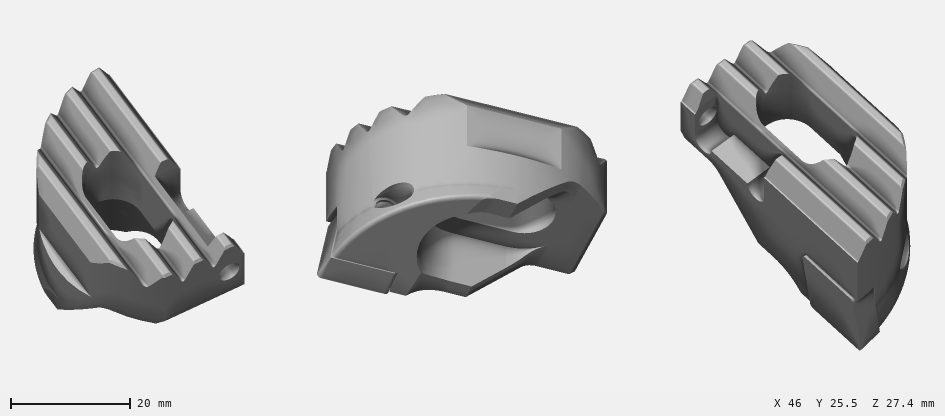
import cadquery as cq
import math


WALL_RADIUS = 25.0
TOP_Z = 27.4
BACK_Y = -0.05
END_X = 19.55
TOP_CHAMFER = 0.4
FRONT_Y = -WALL_RADIUS
MARGIN = 4.6

BOTTOM_TILT = 6.7
BOTTOM_BACK_Z = 0.28
LEDGE_Z = 3.35
RAMP_ANGLE = 45.0
HEEL_Z = 14.35
HEEL_CHAMFER = 1.0
HEEL_RADIUS = 4.0
RELIEF_START_X = -10.7
RELIEF_RADIUS = 9.2

FLARE_TOP_Z = 6.5
FLARE_ANGLE = 10.0
SKIRT_FILLET = 0.75

CREST_COUNT = 4
CREST_SPAN = 18.0
PITCH = CREST_SPAN / (CREST_COUNT - 1)
CREST_WIDTH = 1.4
CREST_RADIUS = 0.5
ROOT_RADIUS = 0.35
FLANK_ANGLE = math.radians(30)

SLOT_X = 1.3
SLOT_Y = -2 * PITCH
SLOT_LENGTH = 20.1
SLOT_WIDTH = 10.55
COUNTERBORE_WIDTH = 18.2

NOTCH_LEFT_X = -1.45
NOTCH_RIGHT_X = 16.0
NOTCH_FRONT_Y = -5.1
NOTCH_FLOOR_Z = 17.7
NOTCH_RELIEF_RADIUS = 2.1
NOTCH_FLARE = 0.4
NOTCH_FLARE_Z = 24.85
CROSS_HOLE_RADIUS = 2.0
CROSS_HOLE_Y = -PITCH / 2
CROSS_HOLE_Z = 20.6

RECESS_Y = -23.5
RECESS_Z = 15.05
RECESS_FLOOR_ANGLE = math.radians(30)

INSERT_FACE_Y = 0.45
INSERT_THICKNESS = 4.8
INSERT_HEIGHT = 12.65
INSERT_CORNER = math.radians(80)
INSERT_RADIUS = 0.8
INSERT_CLEARANCE = 7.0
INSERT_LEFT_X = -26.45
INSERT_LEAN = INSERT_HEIGHT / math.tan(INSERT_CORNER)
INSERT_SIDE = INSERT_HEIGHT / math.sin(INSERT_CORNER)
INSERT_TIP_X = INSERT_LEFT_X + INSERT_RADIUS - INSERT_RADIUS / math.tan(INSERT_CORNER / 2)

SCREW_X = -18.85
SCREW_Z = 6.55
SCREW_RADIUS = 2.02
SCREW_CHAMFER = 0.4
SCREW_END_Y = -12.8
ACCESS_RADIUS = 2.58


def block(x0, x1, y0, y1, z0, z1):
    """Box between opposite corners."""
    return cq.Workplane("XY").box(x1 - x0, y1 - y0, z1 - z0, centered=False).translate((x0, y0, z0))


def rod_along_y(x, z, radius, y0, y1):
    """Cylinder parallel to Y."""
    return cq.Workplane("XZ", origin=(x, y1, z)).circle(radius).extrude(y1 - y0)


def bottom_z(y):
    """Height of the tilted bottom face."""
    return BOTTOM_BACK_Z + (BACK_Y - y) * math.tan(math.radians(BOTTOM_TILT))


def upper_block():
    """Round wall with a chamfered top rim, cut off flat at the back and at the +X end."""
    height = TOP_Z - LEDGE_Z
    wall = cq.Workplane("XY", origin=(0, 0, LEDGE_Z)).circle(WALL_RADIUS).extrude(height)
    wall = wall.faces(">Z").chamfer(TOP_CHAMFER)
    bounds = block(-WALL_RADIUS, END_X, FRONT_Y, BACK_Y, FLARE_TOP_Z, TOP_Z)
    bounds = bounds.union(block(0, END_X, FRONT_Y, BACK_Y, LEDGE_Z, FLARE_TOP_Z))
    bounds = bounds.faces(">Z").edges(">X").chamfer(TOP_CHAMFER)
    return wall.intersect(bounds)


def skirt():
    """Conical flare under the round wall, closed by the tilted bottom with a rounded edge."""
    low_z = -MARGIN
    drop = FLARE_TOP_Z - low_z
    low_radius = WALL_RADIUS + drop * math.tan(math.radians(FLARE_ANGLE))
    cone = cq.Workplane("XY").add(
        cq.Solid.makeCone(low_radius, WALL_RADIUS, drop, cq.Vector(0, 0, low_z))
    )
    reach = 2 * WALL_RADIUS
    underneath = (
        cq.Workplane("YZ", origin=(-reach, 0, 0))
        .polyline([(-reach, bottom_z(-reach)), (reach, bottom_z(reach)), (reach, -reach), (-reach, -reach)])
        .close()
        .extrude(2 * reach)
    )
    cone = cone.cut(underneath)
    cone = cone.faces("<Z").edges().fillet(SKIRT_FILLET)
    return cone.intersect(block(-reach, 0, FRONT_Y, BACK_Y, low_z, FLARE_TOP_Z))


def underside_cut():
    """Space below the underside, whose two ramps blend into flats, along the whole depth."""
    setback = math.tan(math.radians(RAMP_ANGLE / 2))
    arc_top = 90.0
    arc_start = arc_top + RAMP_ANGLE
    arc_middle = arc_top + RAMP_ANGLE / 2
    relief_corner_x = RELIEF_START_X + LEDGE_Z - BOTTOM_BACK_Z
    relief_end_x = relief_corner_x + RELIEF_RADIUS * setback
    relief_centre_z = LEDGE_Z - RELIEF_RADIUS
    heel_corner_x = HEEL_Z - LEDGE_Z
    heel_end_x = heel_corner_x + HEEL_RADIUS * setback
    heel_centre_z = HEEL_Z - HEEL_RADIUS

    def on_arc(centre_x, centre_z, radius, degrees):
        angle = math.radians(degrees)
        return (centre_x + radius * math.cos(angle), centre_z + radius * math.sin(angle))

    relief = (relief_end_x, relief_centre_z, RELIEF_RADIUS)
    heel = (heel_end_x, heel_centre_z, HEEL_RADIUS)
    return (
        cq.Workplane("XZ", origin=(0, MARGIN, 0))
        .moveTo(RELIEF_START_X - BOTTOM_BACK_Z - MARGIN, -MARGIN)
        .lineTo(*on_arc(*relief, arc_start))
        .threePointArc(on_arc(*relief, arc_middle), on_arc(*relief, arc_top))
        .lineTo(0, LEDGE_Z)
        .lineTo(*on_arc(*heel, arc_start))
        .threePointArc(on_arc(*heel, arc_middle), on_arc(*heel, arc_top))
        .lineTo(END_X - HEEL_CHAMFER, HEEL_Z)
        .lineTo(END_X + MARGIN, HEEL_Z + HEEL_CHAMFER + MARGIN)
        .lineTo(END_X + MARGIN, -MARGIN)
        .close()
        .extrude(WALL_RADIUS + 2 * MARGIN)
    )


def serration_valley(y):
    """One V groove along X with a round root, rounding the crests on both sides."""
    lip_y = (PITCH - CREST_WIDTH) / 2
    apex_z = TOP_Z - lip_y / math.tan(FLANK_ANGLE)
    setback = CREST_RADIUS * math.tan(FLANK_ANGLE)
    sin_flank = math.sin(FLANK_ANGLE)
    cos_flank = math.cos(FLANK_ANGLE)
    root_y = ROOT_RADIUS * cos_flank
    root_z = apex_z + ROOT_RADIUS / sin_flank - ROOT_RADIUS * sin_flank
    root_low_z = apex_z + ROOT_RADIUS / sin_flank - ROOT_RADIUS
    crest_y = lip_y + setback
    crest_centre_z = TOP_Z - CREST_RADIUS
    crest_mid = (crest_y - CREST_RADIUS * sin_flank, crest_centre_z + CREST_RADIUS * cos_flank)
    flank_top = (lip_y - setback * sin_flank, TOP_Z - setback * cos_flank)
    return (
        cq.Workplane("YZ", origin=(-2 * WALL_RADIUS, y, 0))
        .moveTo(-crest_y, TOP_Z)
        .threePointArc((-crest_mid[0], crest_mid[1]), (-flank_top[0], flank_top[1]))
        .lineTo(-root_y, root_z)
        .threePointArc((0, root_low_z), (root_y, root_z))
        .lineTo(*flank_top)
        .threePointArc(crest_mid, (crest_y, TOP_Z))
        .close()
        .extrude(4 * WALL_RADIUS)
    )


def clamping_slot():
    """Through slot with a wider counterbore from below."""
    widening = COUNTERBORE_WIDTH - SLOT_WIDTH
    through = (
        cq.Workplane("XY", origin=(SLOT_X, SLOT_Y, 0))
        .slot2D(SLOT_LENGTH, SLOT_WIDTH)
        .extrude(TOP_Z)
    )
    counterbore = (
        cq.Workplane("XY", origin=(SLOT_X, SLOT_Y, 0))
        .slot2D(SLOT_LENGTH + widening, COUNTERBORE_WIDTH)
        .extrude(HEEL_Z)
    )
    return through.union(counterbore)


def back_notch():
    """Notch in the back tooth, with flared mouth, relieved floor corners and a cross hole."""
    cutter = (
        cq.Workplane("XZ", origin=(0, MARGIN, 0))
        .polyline(
            [
                (NOTCH_LEFT_X, NOTCH_FLOOR_Z),
                (NOTCH_RIGHT_X, NOTCH_FLOOR_Z),
                (NOTCH_RIGHT_X, NOTCH_FLARE_Z),
                (NOTCH_RIGHT_X + NOTCH_FLARE, TOP_Z),
                (NOTCH_LEFT_X - NOTCH_FLARE, TOP_Z),
                (NOTCH_LEFT_X, NOTCH_FLARE_Z),
            ]
        )
        .close()
        .extrude(MARGIN - NOTCH_FRONT_Y)
    )
    for x in (NOTCH_LEFT_X + NOTCH_RELIEF_RADIUS, NOTCH_RIGHT_X - NOTCH_RELIEF_RADIUS):
        cutter = cutter.union(rod_along_y(x, NOTCH_FLOOR_Z, NOTCH_RELIEF_RADIUS, NOTCH_FRONT_Y, MARGIN))
    cross_hole = (
        cq.Workplane("YZ", origin=(NOTCH_RIGHT_X - MARGIN, CROSS_HOLE_Y, CROSS_HOLE_Z))
        .circle(CROSS_HOLE_RADIUS)
        .extrude(END_X - NOTCH_RIGHT_X + 2 * MARGIN)
    )
    return cutter.union(cross_hole)


def front_recess():
    """Flat cut into the front of the round wall, with a floor that slopes outward."""
    outer_y = FRONT_Y - MARGIN
    outer_z = RECESS_Z - (RECESS_Y - outer_y) * math.tan(RECESS_FLOOR_ANGLE)
    return (
        cq.Workplane("YZ", origin=(-WALL_RADIUS, 0, 0))
        .polyline([(RECESS_Y, TOP_Z), (RECESS_Y, RECESS_Z), (outer_y, outer_z), (outer_y, TOP_Z)])
        .close()
        .extrude(2 * WALL_RADIUS)
    )


def insert_pocket():
    """Seat for the insert, open at the back, to the left and downward."""
    right_low_x = INSERT_TIP_X + INSERT_SIDE
    overrun_lean = MARGIN / math.tan(INSERT_CORNER)
    left_x = INSERT_TIP_X - MARGIN
    return (
        cq.Workplane("XZ", origin=(0, INSERT_FACE_Y, 0))
        .polyline(
            [
                (left_x, -MARGIN),
                (right_low_x - overrun_lean, -MARGIN),
                (right_low_x + INSERT_LEAN, INSERT_HEIGHT),
                (left_x, INSERT_HEIGHT),
            ]
        )
        .close()
        .extrude(INSERT_THICKNESS)
    )


def screw_blank():
    """Plain screw shank from its end in the holder to the insert face."""
    return rod_along_y(SCREW_X, SCREW_Z, SCREW_RADIUS, SCREW_END_Y, INSERT_FACE_Y)


def make_holder():
    holder = upper_block().union(skirt())
    holder = holder.cut(underside_cut())
    for index in range(CREST_COUNT + 1):
        holder = holder.cut(serration_valley(-index * PITCH))
    holder = holder.cut(front_recess())
    holder = holder.cut(clamping_slot())
    holder = holder.cut(back_notch())
    holder = holder.cut(insert_pocket())
    holder = holder.cut(screw_blank())
    return holder.cut(rod_along_y(SCREW_X, SCREW_Z, ACCESS_RADIUS, FRONT_Y - MARGIN, SCREW_END_Y))


def make_insert():
    """Rhombic plate with rounded corners whose flanks taper inward behind the face."""
    outline = (
        cq.Sketch()
        .polygon(
            [
                (INSERT_TIP_X, 0),
                (INSERT_TIP_X + INSERT_SIDE, 0),
                (INSERT_TIP_X + INSERT_SIDE + INSERT_LEAN, INSERT_HEIGHT),
                (INSERT_TIP_X + INSERT_LEAN, INSERT_HEIGHT),
                (INSERT_TIP_X, 0),
            ]
        )
        .vertices()
        .fillet(INSERT_RADIUS)
    )
    plate = (
        cq.Workplane("XZ", origin=(0, INSERT_FACE_Y, 0))
        .placeSketch(outline)
        .extrude(INSERT_THICKNESS, taper=INSERT_CLEARANCE)
    )
    return plate.cut(screw_blank())


def make_screw():
    return screw_blank().faces("<Y").chamfer(SCREW_CHAMFER)


holder = make_holder()
insert = make_insert()
screw = make_screw()

result = cq.Compound.makeCompound([holder.val(), insert.val(), screw.val()])